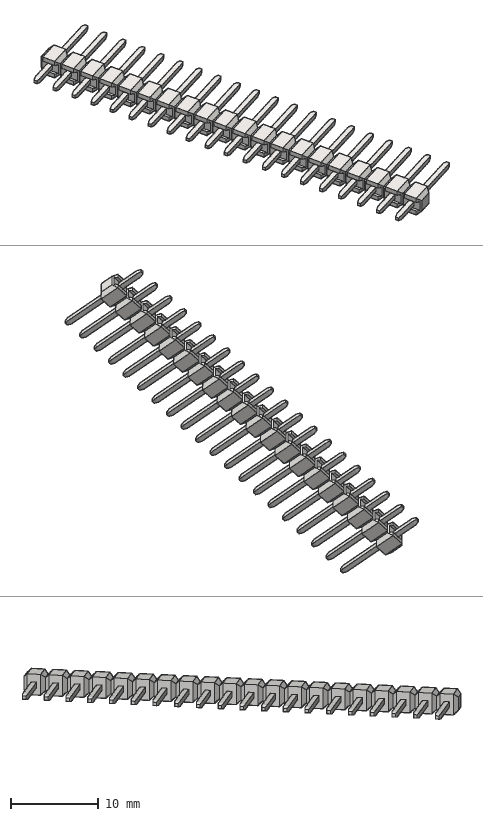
import cadquery as cq

pin_count = 20
row_length = 50.8
pitch = row_length / pin_count

body_depth = 2.55
body_height = 2.5
chamfer_length = 0.485
chamfer_inset = 0.45

channel_height = 1.25
channel_depth = 0.3

pin_width = pitch / 4
front_pin_length = 3.0
back_pin_length = 6.0
tip_length = 0.5
tip_width = 0.4

front_face_y = -body_depth / 2
pin_front_y = front_face_y - front_pin_length
pin_back_y = body_depth / 2 + back_pin_length


def end_chamfered_outline(plane, width):
    """Octagonal outline of a block, pitch long in X, with its X ends narrowed."""
    end_x = pitch / 2
    side_x = end_x - chamfer_length
    side = width / 2
    end_side = side - chamfer_inset
    corners = [
        (end_x, -end_side),
        (end_x, end_side),
        (side_x, side),
        (-side_x, side),
        (-end_x, end_side),
        (-end_x, -end_side),
        (-side_x, -side),
        (side_x, -side),
    ]
    return cq.Workplane(plane).polyline(corners).close()


def make_block():
    """One block whose two X end faces are chamfered all round."""
    plan = end_chamfered_outline("XY", body_depth).extrude(body_height / 2, both=True)
    elevation = end_chamfered_outline("XZ", body_height).extrude(body_depth / 2, both=True)
    return plan.intersect(elevation)


def make_channel():
    """Material removed along the front face of the whole row."""
    channel = cq.Workplane("XY").box(row_length, channel_depth, channel_height)
    return channel.translate((0, front_face_y + channel_depth / 2, 0))


def make_tip(base_y, direction):
    """Tapered pin end starting at base_y; direction is +1 for +Y and -1 for -Y."""
    base = cq.Plane(origin=(0, base_y, 0), xDir=(1, 0, 0), normal=(0, direction, 0))
    return (
        cq.Workplane(base)
        .rect(pin_width, pin_width)
        .workplane(offset=tip_length)
        .rect(tip_width, tip_width)
        .loft()
    )


def make_pin():
    """Straight square shank with a tapered tip at each end."""
    shank_front_y = pin_front_y + tip_length
    shank_back_y = pin_back_y - tip_length
    shank = cq.Workplane("XY").box(pin_width, shank_back_y - shank_front_y, pin_width)
    shank = shank.translate((0, (shank_front_y + shank_back_y) / 2, 0))
    return shank.union(make_tip(shank_front_y, -1)).union(make_tip(shank_back_y, 1))


positions = [(index - (pin_count - 1) / 2) * pitch for index in range(pin_count)]

block = make_block()
body = block.translate((positions[0], 0, 0))
for x in positions[1:]:
    body = body.union(block.translate((x, 0, 0)))
body = body.cut(make_channel())

pin = make_pin()
result = body
for x in positions:
    result = result.union(pin.translate((x, 0, 0)))